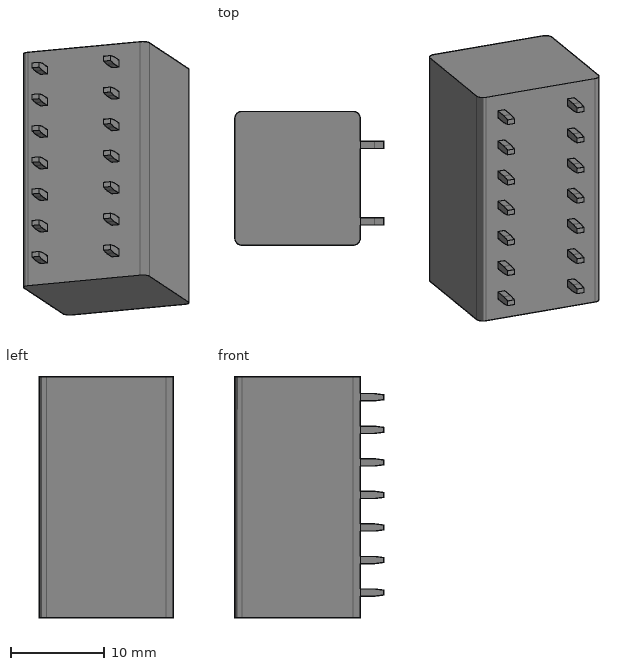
import cadquery as cq

case_length = 13.5
case_width = 14.4
case_height = 25.9
corner_radius = 0.78

pin_length = 2.5
taper_length = 0.98
pin_size = 0.8
tip_height = 0.55

pins_per_column = 7
pin_pitch = 3.5
top_pin_depth = 2.2
column_spacing = 8.2
column_offset = -0.52


def make_case():
    """Rounded block centred on X and Y, standing on Z = 0."""
    block = cq.Workplane("XY").box(case_length, case_width, case_height, centered=(True, True, False))
    return block.edges("|Z").fillet(corner_radius)


def make_pin(y, z):
    """Single pin centred on (y, z), pointing along +X from the case."""
    root_x = case_length / 2
    tip_x = root_x + pin_length
    taper_x = tip_x - taper_length
    profile = [
        (root_x, z - pin_size / 2),
        (taper_x, z - pin_size / 2),
        (tip_x, z - tip_height / 2),
        (tip_x, z + tip_height / 2),
        (taper_x, z + pin_size / 2),
        (root_x, z + pin_size / 2),
    ]
    plane = cq.Workplane("XZ", origin=(0, y, 0))
    return plane.polyline(profile).close().extrude(pin_size / 2, both=True)


result = make_case()
for side in (-1, 1):
    column_y = column_offset + side * column_spacing / 2
    for row in range(pins_per_column):
        pin_z = case_height - top_pin_depth - row * pin_pitch
        result = result.union(make_pin(column_y, pin_z))